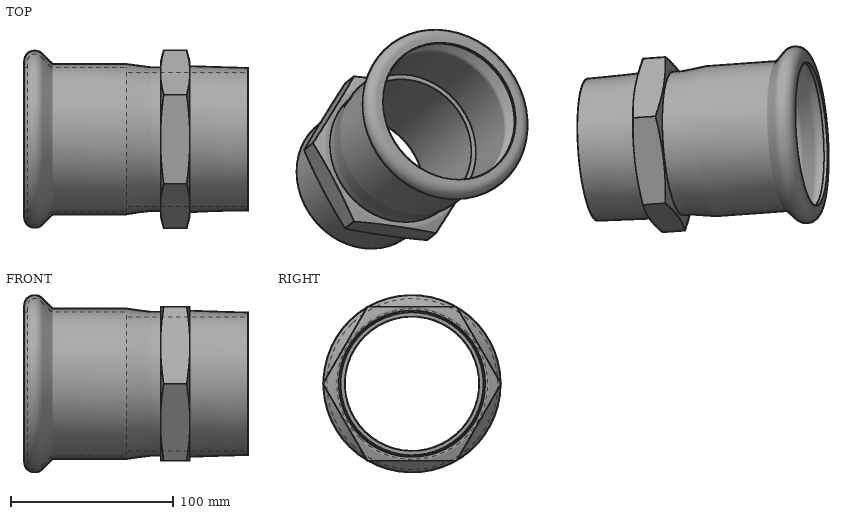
import cadquery as cq
import math

total_length = 138.0
wall = 2.05
socket_outer_radius = 92.9 / 2
socket_bore_radius = socket_outer_radius - wall
socket_length = 62.9
through_bore_radius = 41.3

bead_outer_radius = 109.4 / 2
bead_round_radius = 6.6
flank_angle = math.radians(45)
flank_fillet_radius = 1.4

neck_radius = 88.8 / 2
neck_start = 78.1

hex_across_flats = 95.0
hex_start = 84.1
hex_width = 18.1
hex_chamfer_angle = math.radians(15)

thread_end_radius = 88.0 / 2
thread_taper = 1 / 16

hex_end = hex_start + hex_width
thread_start_radius = thread_end_radius + thread_taper * (total_length - hex_end) / 2
bead_center_x = bead_round_radius
bead_center_radius = bead_outer_radius - bead_round_radius
fillet_center_radius = socket_outer_radius + flank_fillet_radius
fillet_center_x = bead_center_x + (
    (bead_round_radius + flank_fillet_radius)
    + (bead_center_radius - fillet_center_radius) * math.cos(flank_angle)
) / math.sin(flank_angle)


def polar(center_x, center_radius, arc_radius, angle):
    """Point on an arc of the profile; the angle is measured from +X."""
    return (
        center_x + arc_radius * math.cos(angle),
        center_radius + arc_radius * math.sin(angle),
    )


def bead_point(arc_radius, angle):
    return polar(bead_center_x, bead_center_radius, arc_radius, angle)


def fillet_point(arc_radius, angle):
    return polar(fillet_center_x, fillet_center_radius, arc_radius, angle)


flank_normal = math.pi / 2 - flank_angle
bead_middle = (math.pi + flank_normal) / 2
fillet_start = flank_normal + math.pi
fillet_end = 1.5 * math.pi
fillet_middle = (fillet_start + fillet_end) / 2


def make_body():
    """Turned body: socket with hollow bead, taper, neck and tapered male end."""
    groove_radius = bead_round_radius - wall
    inner_fillet_radius = flank_fillet_radius + wall
    profile = (
        cq.Workplane("XY")
        .moveTo(0, socket_bore_radius)
        .lineTo(*bead_point(bead_round_radius, math.pi))
        .threePointArc(
            bead_point(bead_round_radius, bead_middle),
            bead_point(bead_round_radius, flank_normal),
        )
        .lineTo(*fillet_point(flank_fillet_radius, fillet_start))
        .threePointArc(
            fillet_point(flank_fillet_radius, fillet_middle),
            fillet_point(flank_fillet_radius, fillet_end),
        )
        .lineTo(socket_length, socket_outer_radius)
        .lineTo(neck_start, neck_radius)
        .lineTo(hex_end, neck_radius)
        .lineTo(hex_end, thread_start_radius)
        .lineTo(total_length, thread_end_radius)
        .lineTo(total_length, through_bore_radius)
        .lineTo(socket_length, through_bore_radius)
        .lineTo(socket_length, socket_bore_radius)
        .lineTo(*fillet_point(inner_fillet_radius, fillet_end))
        .threePointArc(
            fillet_point(inner_fillet_radius, fillet_middle),
            fillet_point(inner_fillet_radius, fillet_start),
        )
        .lineTo(*bead_point(groove_radius, flank_normal))
        .threePointArc(
            bead_point(groove_radius, bead_middle),
            bead_point(groove_radius, math.pi),
        )
        .lineTo(wall, socket_bore_radius)
        .close()
    )
    return profile.revolve(360, (0, 0, 0), (1, 0, 0))


def make_hex():
    """Hexagon collar with corners toward +Y and -Y, its corners chamfered on both faces."""
    flat_radius = hex_across_flats / 2
    corner_radius = flat_radius / math.cos(math.pi / 6)
    chamfer_depth = (corner_radius - flat_radius) * math.tan(hex_chamfer_angle)
    prism = (
        cq.Workplane("YZ")
        .workplane(offset=hex_start)
        .polygon(6, 2 * corner_radius)
        .circle(through_bore_radius)
        .extrude(hex_width)
    )
    envelope = (
        cq.Workplane("XY")
        .moveTo(hex_start, 0)
        .lineTo(hex_start, flat_radius)
        .lineTo(hex_start + chamfer_depth, corner_radius)
        .lineTo(hex_end - chamfer_depth, corner_radius)
        .lineTo(hex_end, flat_radius)
        .lineTo(hex_end, 0)
        .close()
        .revolve(360, (0, 0, 0), (1, 0, 0))
    )
    return prism.intersect(envelope)


result = make_body().union(make_hex())